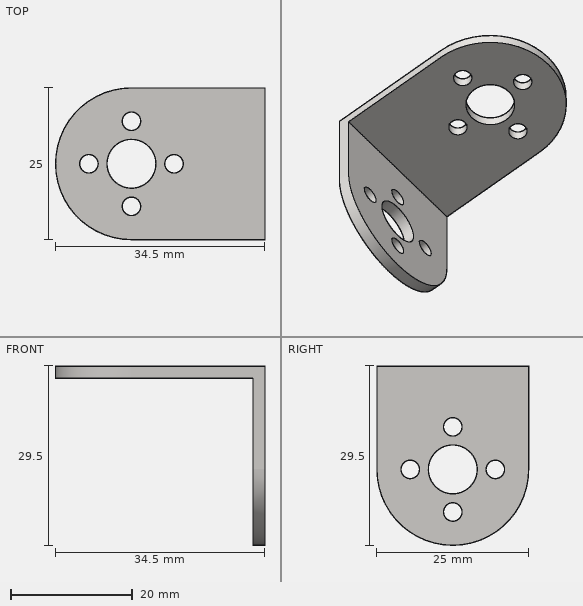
import cadquery as cq

length = 34.5
width = 25.0
height = 29.5
thickness = 2.0
center_hole_diameter = 8.0
screw_hole_diameter = 3.0
screw_circle_radius = 7.0
screw_count = 4

end_radius = width / 2


def rounded_plate(reach):
    """Plate from x = -reach to x = 0, rounded at its far end and drilled about the round's center."""
    round_center = end_radius - reach
    outline = (
        cq.Workplane("XY")
        .moveTo(0, -end_radius)
        .lineTo(0, end_radius)
        .lineTo(round_center, end_radius)
        .threePointArc((-reach, 0), (round_center, -end_radius))
        .close()
    )
    return (
        outline.extrude(-thickness)
        .cut(drill(round_center, center_hole_diameter))
        .cut(screw_holes(round_center))
    )


def drill(x, diameter):
    return cq.Workplane("XY").center(x, 0).circle(diameter / 2).extrude(-thickness)


def screw_holes(x):
    return (
        cq.Workplane("XY")
        .center(x, 0)
        .polarArray(screw_circle_radius, 0, 360, screw_count)
        .circle(screw_hole_diameter / 2)
        .extrude(-thickness)
    )


horizontal_plate = rounded_plate(length)

vertical_plate = (
    rounded_plate(height)
    .rotate((0, 0, 0), (0, 1, 0), -90)
    .mirror("YZ")
)

result = horizontal_plate.union(vertical_plate)